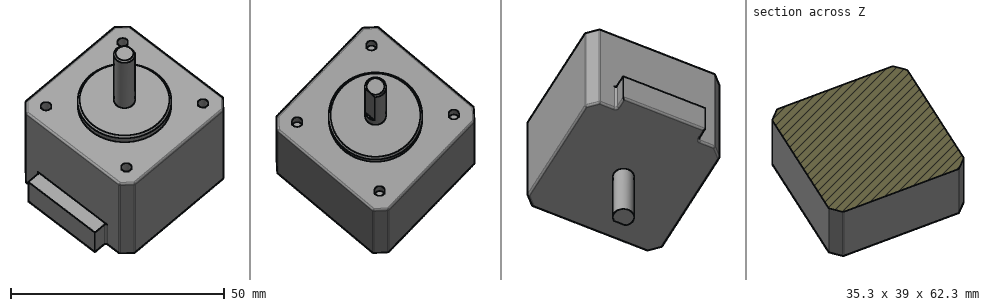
import cadquery as cq

overall_height = 62.3
overall_depth = 39.0

body_width = 35.3
body_height = 27.35
corner_cut = 2.55
edge_radius = 0.5

pilot_diameter = 22.0
pilot_height = 2.0
pilot_chamfer = 0.5

shaft_diameter = 5
upper_shaft_length = 18.0
lower_shaft_length = overall_height - body_height - pilot_height - upper_shaft_length
shaft_chamfer = 0.45
flat_depth = 0.5
round_length = 2.9

hole_diameter = 2.5
hole_spacing = 26.0
hole_depth = 3.1

connector_width = 21.55
connector_height = 8.0
connector_depth = overall_depth - body_width

pilot_top = body_height + pilot_height


def make_body():
    """Body and connector with rounded rims and a rounded joint between them."""
    body = cq.Workplane("XY").rect(body_width, body_width).extrude(body_height)
    body = body.edges("|Z").chamfer(corner_cut)
    body = body.edges("|Z").fillet(edge_radius)
    body = body.faces(">Z").edges().fillet(edge_radius)

    connector = (
        cq.Workplane("XY")
        .center(0, -body_width / 2)
        .rect(connector_width, 2 * connector_depth)
        .extrude(connector_height)
    )
    body = body.union(connector)

    joint_edges = cq.selectors.BoxSelector(
        (-connector_width, -body_width / 2 - edge_radius / 2, -edge_radius),
        (connector_width, -body_width / 2 + edge_radius / 2, connector_height),
    )
    body = body.edges("|Z").edges(joint_edges).fillet(edge_radius)
    return body.faces("<Z").edges().fillet(edge_radius)


def make_pilot():
    pilot = cq.Workplane("XY").workplane(offset=body_height)
    pilot = pilot.circle(pilot_diameter / 2).extrude(pilot_height)
    return pilot.faces(">Z").edges().chamfer(pilot_chamfer)


def flat_cutter(bottom, length):
    """Block that removes the +Y side of the shaft over the given height."""
    return (
        cq.Workplane("XY")
        .workplane(offset=bottom)
        .center(0, shaft_diameter - flat_depth)
        .rect(2 * shaft_diameter, shaft_diameter)
        .extrude(length)
    )


def make_shaft():
    shaft = (
        cq.Workplane("XY")
        .workplane(offset=-lower_shaft_length)
        .circle(shaft_diameter / 2)
        .extrude(lower_shaft_length + pilot_top + upper_shaft_length)
    )
    shaft = shaft.faces(">Z").edges().chamfer(shaft_chamfer)
    shaft = shaft.cut(flat_cutter(pilot_top + round_length, upper_shaft_length - round_length))
    return shaft.cut(flat_cutter(-lower_shaft_length, lower_shaft_length))


def make_holes():
    return (
        cq.Workplane("XY")
        .workplane(offset=body_height - hole_depth)
        .rect(hole_spacing, hole_spacing, forConstruction=True)
        .vertices()
        .circle(hole_diameter / 2)
        .extrude(hole_depth)
    )


result = make_body().union(make_pilot()).union(make_shaft()).cut(make_holes())